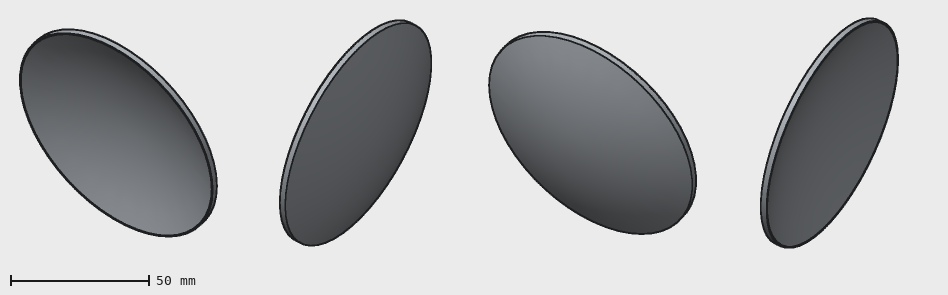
import cadquery as cq
import math

outer_radius = 44.5
overall_depth = 12.0
rim_height = 2.5
wall_thickness = 2.5

cap_rise = overall_depth - rim_height
dome_radius = (outer_radius**2 + cap_rise**2) / (2 * cap_rise)
centre_y = overall_depth - dome_radius

bowl_radius = dome_radius - wall_thickness
bowl_depth = overall_depth - wall_thickness
mouth_radius = math.sqrt(bowl_radius**2 - centre_y**2)


def point_on_arc(radius, x):
    """Point at distance x from the Y axis on an arc about the common centre."""
    return (x, centre_y + math.sqrt(radius**2 - x**2))


half_section = (
    cq.Workplane("XY")
    .moveTo(mouth_radius, 0)
    .lineTo(outer_radius, 0)
    .lineTo(outer_radius, rim_height)
    .threePointArc(point_on_arc(dome_radius, outer_radius / 2), (0, overall_depth))
    .lineTo(0, bowl_depth)
    .threePointArc(point_on_arc(bowl_radius, mouth_radius / 2), (mouth_radius, 0))
    .close()
)

result = half_section.revolve(360, (0, 0, 0), (0, 1, 0))